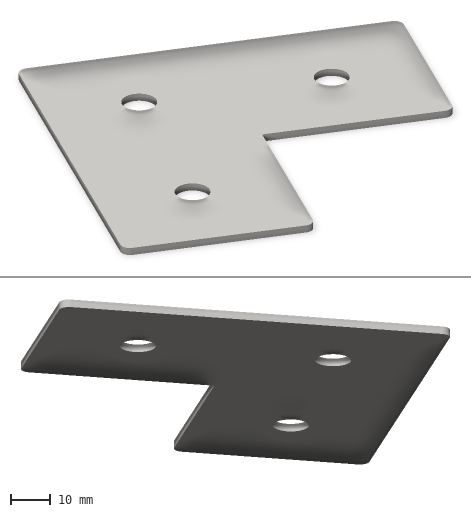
import cadquery as cq

side_length = 100.0
arm_width = side_length / 2
thickness = 2.0
corner_radius = 2.5
hole_diameter = 9.0

near_center = arm_width / 2
far_center = side_length - arm_width / 2
hole_centers = [
    (near_center, near_center),
    (far_center, near_center),
    (near_center, far_center),
]


def make_plate():
    """L-shaped plate with rounded outer corners and a sharp inner corner."""
    blank = cq.Workplane("XY").rect(side_length, side_length, centered=False).extrude(thickness)
    notch_size = side_length - arm_width
    notch = (
        cq.Workplane("XY")
        .moveTo(arm_width, arm_width)
        .rect(notch_size, notch_size, centered=False)
        .extrude(thickness)
    )
    inner_corner = cq.selectors.NearestToPointSelector((arm_width, arm_width, thickness / 2))
    outer_corners = cq.StringSyntaxSelector("|Z") - inner_corner
    return blank.cut(notch).edges(outer_corners).fillet(corner_radius)


def make_holes():
    """Through holes for the corner and both arms."""
    return cq.Workplane("XY").pushPoints(hole_centers).circle(hole_diameter / 2).extrude(thickness)


result = make_plate().cut(make_holes())